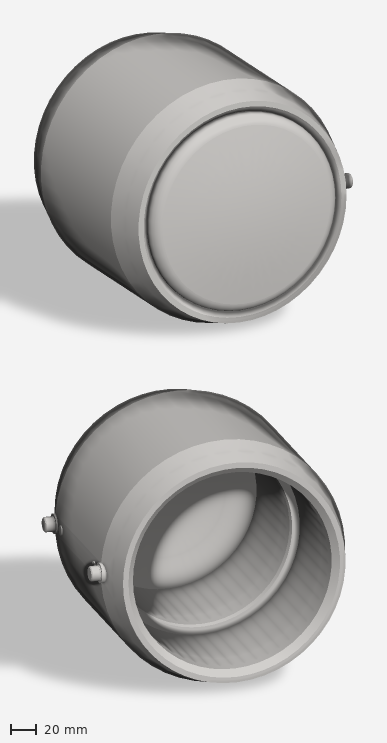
import cadquery as cq
import math

overall_length = 193.2
sleeve_length = 180.0
sleeve_radius = 197.0 / 2
sleeve_end_radius = 89.6
taper_length = 29.9
bore_radius = 160.0 / 2
lead_in = 5.2

cap_start = 89.0
cap_bore_radius = 73.0
cap_mouth_radius = 147.7 / 2
cap_bevel_length = 4.0
cap_wall = bore_radius - cap_bore_radius
dome_rise = 6.2
knuckle_radius = 9.3

terminal_tip = 206 - sleeve_radius
terminal_radius = 12.0 / 2
terminal_edge = 0.8
collar_radius = 6.2
collar_height = 0.8
flange_radius = 16.0 / 2
flange_top = 99.7
button_radius = 8.0 / 2
button_top = 99.3
button_offset = 46.4
root_depth = 92.7


def revolve_about_x(profile):
    return profile.close().revolve(360, (0, 0, 0), (1, 0, 0))


def make_sleeve():
    return revolve_about_x(
        cq.Workplane("XY")
        .moveTo(0, sleeve_end_radius)
        .lineTo(taper_length, sleeve_radius)
        .lineTo(sleeve_length - taper_length, sleeve_radius)
        .lineTo(sleeve_length, sleeve_end_radius)
        .lineTo(sleeve_length, bore_radius + lead_in)
        .lineTo(sleeve_length - lead_in, bore_radius)
        .lineTo(lead_in, bore_radius)
        .lineTo(0, bore_radius + lead_in)
    )


def make_cap():
    knuckle_center_r = bore_radius - knuckle_radius
    dome_radius = (knuckle_center_r**2 + dome_rise**2) / (2 * dome_rise)
    dome_center = overall_length - dome_radius
    tilt = math.asin(knuckle_center_r / (dome_radius - knuckle_radius))
    knuckle_center_x = dome_center + (dome_radius - knuckle_radius) * math.cos(tilt)
    inner_dome_radius = dome_radius - cap_wall
    inner_tilt = math.asin(cap_bore_radius / inner_dome_radius)

    def knuckle(angle):
        return (
            knuckle_center_x + knuckle_radius * math.cos(angle),
            knuckle_center_r + knuckle_radius * math.sin(angle),
        )

    def dome(radius, angle):
        return (dome_center + radius * math.cos(angle), radius * math.sin(angle))

    right_angle = math.pi / 2
    return revolve_about_x(
        cq.Workplane("XY")
        .moveTo(cap_start, bore_radius)
        .lineTo(knuckle_center_x, bore_radius)
        .threePointArc(knuckle((right_angle + tilt) / 2), knuckle(tilt))
        .threePointArc(dome(dome_radius, tilt / 2), (overall_length, 0))
        .lineTo(overall_length - cap_wall, 0)
        .threePointArc(dome(inner_dome_radius, inner_tilt / 2), dome(inner_dome_radius, inner_tilt))
        .lineTo(cap_start + cap_bevel_length, cap_bore_radius)
        .lineTo(cap_start, cap_mouth_radius)
    )


def make_post(x, radius, top):
    """Round post pointing along +Y, rooted in the sleeve wall."""
    post = cq.Workplane("XZ", origin=(x, root_depth, 0)).circle(radius)
    return post.extrude(-(top - root_depth))


def make_terminal(x):
    pin = make_post(x, terminal_radius, terminal_tip).faces(">Y").chamfer(terminal_edge)
    collar = make_post(x, collar_radius, flange_top + collar_height)
    return pin.union(collar).union(make_post(x, flange_radius, flange_top))


result = make_sleeve().union(make_cap())
for terminal_x in (taper_length, sleeve_length - taper_length):
    result = result.union(make_terminal(terminal_x))
for button_x in (button_offset, sleeve_length - button_offset):
    result = result.union(make_post(button_x, button_radius, button_top))